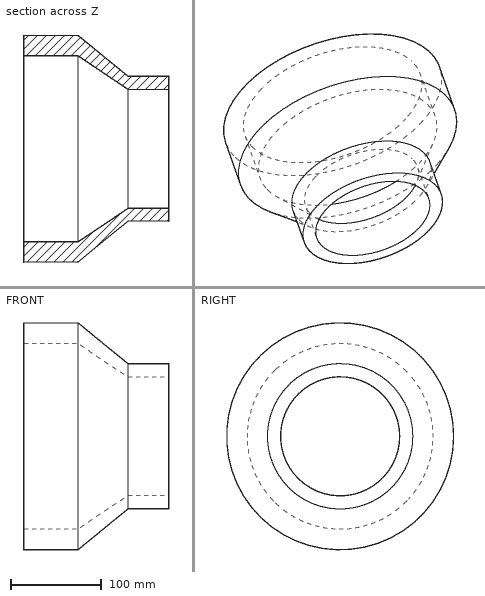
import cadquery as cq

total_length = 160.0
wide_length = 60.0
narrow_start = 115.0
wide_outer_diameter = 250.0
wide_bore_diameter = 204.5
narrow_outer_diameter = 160.0
narrow_bore_diameter = 130.8


def stepped_cone(wide_diameter, narrow_diameter):
    """Solid of a wide cylinder, a cone and a narrow cylinder along X."""
    wide_radius = wide_diameter / 2
    narrow_radius = narrow_diameter / 2
    half_profile = [
        (0, 0),
        (0, wide_radius),
        (wide_length, wide_radius),
        (narrow_start, narrow_radius),
        (total_length, narrow_radius),
        (total_length, 0),
    ]
    return cq.Workplane("XY").polyline(half_profile).close().revolve(360, (0, 0, 0), (1, 0, 0))


body = stepped_cone(wide_outer_diameter, narrow_outer_diameter)
bore = stepped_cone(wide_bore_diameter, narrow_bore_diameter)
result = body.cut(bore)